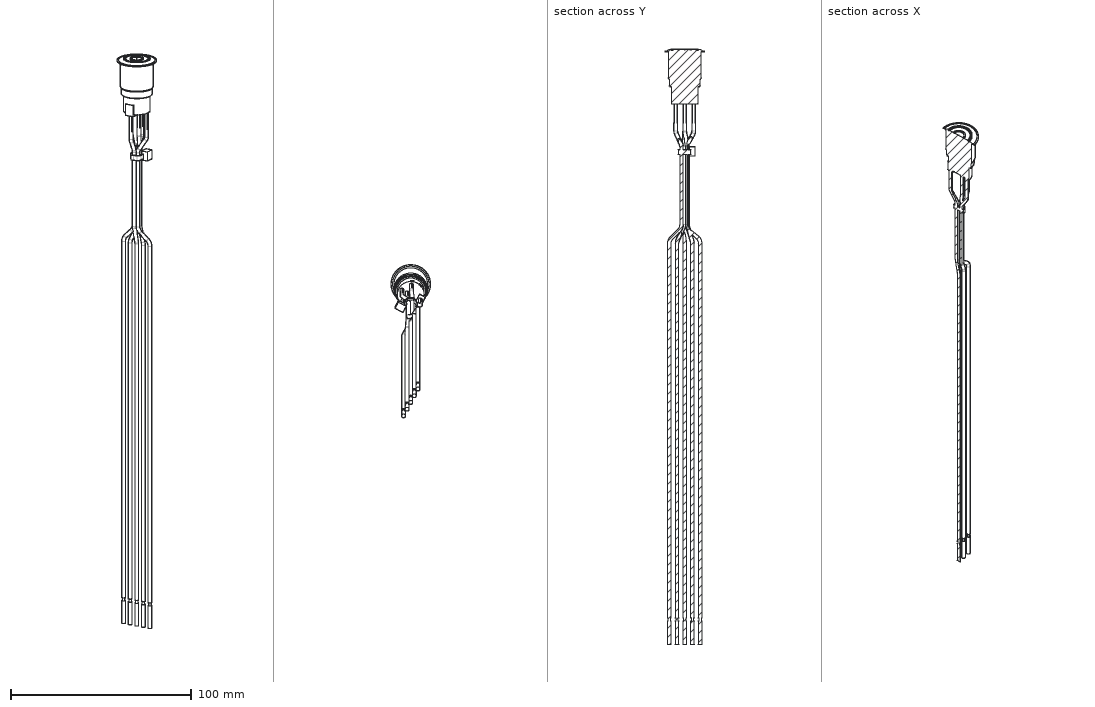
import cadquery as cq
import math

total_length = 330.7

flange_radius = 22 / 2
flange_top_z = -1.0
flange_bottom_z = -1.5
bezel_radius = 20.2 / 2
body_radius = 18.6 / 2
body_bottom_z = -16.2
collar_radius = 17.5 / 2
collar_bottom_z = -21.0
collar_chamfer = 0.5
shoulder_height = 0.8
base_radius = 14.9 / 2
base_bottom_z = -30.6

bezel_top_radius = 15 / 2
ledge_radius = 13.6 / 2
cap_radius = 12.6 / 2
groove_depth = 0.6
ledge_depth = 0.3
lens_groove_outer_radius = 7.6 / 2
lens_radius = 5.8 / 2
center_dimple_radius = 0.2

key_width = 5.2
key_face_y = -15.8 / 2
key_top_z = -25.0
key_bottom_z = -31.6

window_spacing = 5.2
window_width = 1.8
window_top_z = -27.2
window_bottom_z = -29.8
window_floor_x = -6.4

wire_diameter = 2.2
strand_diameter = 1.5
terminal_bottom_z = -41.0
terminal_slot_width = 0.5
terminal_slot_depth = 0.5
root_depth = 1.0

upper_bend_start_z = -45.5
upper_bend_end_z = -54.2
lower_bend_start_z = -97.5
lower_bend_end_z = -108.0
upper_bend_radius = 3.0
lower_bend_radius = 4.5

bundle_radius = 1.8
tail_pitch = 4.3
strip_top_z = -315.8
strip_length = 1.8

terminal_side_x = 5.0
terminal_row_y = 2.2
terminal_back_y = 5.5
terminal_front_y = -6.0
leads = [
    ((-terminal_side_x, terminal_row_y), -2),
    ((0, terminal_front_y), 0),
    ((terminal_side_x, terminal_row_y), 2),
    ((0, terminal_row_y), 1),
    ((0, terminal_back_y), -1),
]

tie_thickness = 0.8
tie_top_z = -55.8
tie_bottom_z = -58.6
tie_head_top_z = -54.2
tie_head_bottom_z = -59.5
tie_head_inner = 1.8
tie_head_far_x = 5.8
tie_head_far_y = 6.8


def rod(diameter, place, top_z, bottom_z):
    """Upright cylinder between two heights at an (x, y) place."""
    x, y = place
    return (
        cq.Workplane("XY", origin=(x, y, bottom_z))
        .circle(diameter / 2)
        .extrude(top_z - bottom_z)
    )


def head():
    """Turned body: rounded bezel, thin flange, barrel, collar and base."""
    return (
        cq.Workplane("XZ")
        .moveTo(0, 0)
        .lineTo(bezel_top_radius, 0)
        .tangentArcPoint((bezel_radius, flange_top_z), relative=False)
        .lineTo(flange_radius, flange_top_z)
        .lineTo(flange_radius, flange_bottom_z)
        .lineTo(body_radius, flange_bottom_z)
        .lineTo(body_radius, body_bottom_z)
        .lineTo(collar_radius, body_bottom_z - shoulder_height)
        .lineTo(collar_radius, collar_bottom_z + collar_chamfer)
        .lineTo(collar_radius - collar_chamfer, collar_bottom_z)
        .lineTo(base_radius, collar_bottom_z)
        .lineTo(base_radius, base_bottom_z)
        .lineTo(0, base_bottom_z)
        .close()
        .revolve(360, (0, 0, 0), (0, 1, 0))
    )


def sunk_ring(outer, inner, depth):
    """Annulus reaching down from the top face."""
    return cq.Workplane("XY").circle(outer).circle(inner).extrude(-depth)


def face_grooves():
    """Stepped groove round the cap, plain groove round the lens and a centre dimple."""
    cap_groove = sunk_ring(bezel_top_radius, ledge_radius, groove_depth)
    cap_ledge = sunk_ring(ledge_radius, cap_radius, ledge_depth)
    lens_groove = sunk_ring(lens_groove_outer_radius, lens_radius, ledge_depth)
    center_dimple = cq.Workplane("XY").circle(center_dimple_radius).extrude(-ledge_depth)
    return cap_groove.union(cap_ledge).union(lens_groove).union(center_dimple)


def key():
    """Flat-faced key running down the -Y side of the base."""
    return cq.Workplane("XY").box(
        key_width, base_radius / 2, key_top_z - key_bottom_z, centered=(True, False, False)
    ).translate((0, key_face_y, key_bottom_z))


def base_windows():
    """Two small pockets either side of the X axis, cut in from -X."""
    return (
        cq.Workplane("YZ", origin=(window_floor_x, 0, (window_top_z + window_bottom_z) / 2))
        .pushPoints([(-window_spacing / 2, 0), (window_spacing / 2, 0)])
        .rect(window_width, window_top_z - window_bottom_z)
        .extrude(-base_radius)
    )


def terminal(place):
    """Solder terminal with a slot down its two X sides."""
    x, y = place
    slot_length = base_bottom_z - terminal_bottom_z
    body = rod(wire_diameter, place, base_bottom_z + root_depth, terminal_bottom_z)
    for side in (-1, 1):
        slot_x = x + side * wire_diameter / 2
        slot = (
            cq.Workplane("XY", origin=(slot_x, y, terminal_bottom_z))
            .rect(2 * terminal_slot_depth, terminal_slot_width)
            .extrude(slot_length)
        )
        body = body.cut(slot)
    return body


def s_bend(start, end, top_z, bottom_z, bend_radius):
    """Wire shifting sideways from start to end (x, y): arc, straight, arc."""
    dx = end[0] - start[0]
    dy = end[1] - start[1]
    shift = math.hypot(dx, dy)
    drop = top_z - bottom_z
    reach = math.hypot(drop, shift - 2 * bend_radius)
    lean = math.asin(2 * bend_radius / reach) - math.atan2(2 * bend_radius - shift, drop)
    arc_in = bend_radius * (1 - math.cos(lean))
    arc_down = bend_radius * math.sin(lean)
    mid_in = bend_radius * (1 - math.cos(lean / 2))
    mid_down = bend_radius * math.sin(lean / 2)
    plane = cq.Plane(origin=(start[0], start[1], top_z), xDir=(dx, dy, 0), normal=(dy, -dx, 0))
    path = (
        cq.Workplane(plane)
        .moveTo(0, 0)
        .threePointArc((mid_in, -mid_down), (arc_in, -arc_down))
        .lineTo(shift - arc_in, arc_down - drop)
        .threePointArc((shift - mid_in, mid_down - drop), (shift, -drop))
    )
    return (
        cq.Workplane("XY", origin=(start[0], start[1], top_z))
        .circle(wire_diameter / 2)
        .sweep(path)
    )


def bundle_place(index):
    """Centre (x, y) of a wire within the round bundle."""
    angle = math.pi + index * 2 * math.pi / len(leads)
    return bundle_radius * math.cos(angle), bundle_radius * math.sin(angle)


def lead(index):
    """One wire from its terminal, through the bundle, to its half-stripped tail."""
    terminal_place, column = leads[index]
    middle_place = bundle_place(index)
    tail_place = (column * tail_pitch, 0)
    strip_bottom_z = strip_top_z - strip_length
    pieces = [
        rod(wire_diameter, terminal_place, terminal_bottom_z, upper_bend_start_z),
        s_bend(terminal_place, middle_place, upper_bend_start_z, upper_bend_end_z, upper_bend_radius),
        rod(wire_diameter, middle_place, upper_bend_end_z, lower_bend_start_z),
        s_bend(middle_place, tail_place, lower_bend_start_z, lower_bend_end_z, lower_bend_radius),
        rod(wire_diameter, tail_place, lower_bend_end_z, strip_top_z),
        rod(strand_diameter, tail_place, strip_top_z, strip_bottom_z),
        rod(wire_diameter, tail_place, strip_bottom_z, -total_length),
    ]
    wire = terminal(terminal_place)
    for piece in pieces:
        wire = wire.union(piece)
    return wire


def cable_tie():
    """Band drawn tight round the bundle, with its head on the +X +Y corner."""
    corners = [bundle_place(index) for index in range(len(leads))]
    band = (
        cq.Workplane("XY", origin=(0, 0, tie_bottom_z))
        .polyline(corners)
        .close()
        .offset2D(wire_diameter / 2 + tie_thickness, "arc")
        .extrude(tie_top_z - tie_bottom_z)
    )
    tie_head = (
        cq.Workplane("XY")
        .box(
            tie_head_far_x - tie_head_inner,
            tie_head_far_y - tie_head_inner,
            tie_head_top_z - tie_head_bottom_z,
            centered=False,
        )
        .translate((tie_head_inner, tie_head_inner, tie_head_bottom_z))
    )
    return band.union(tie_head)


result = head().cut(face_grooves()).cut(base_windows()).union(key())
for wire_index in range(len(leads)):
    result = result.union(lead(wire_index))
result = result.union(cable_tie())